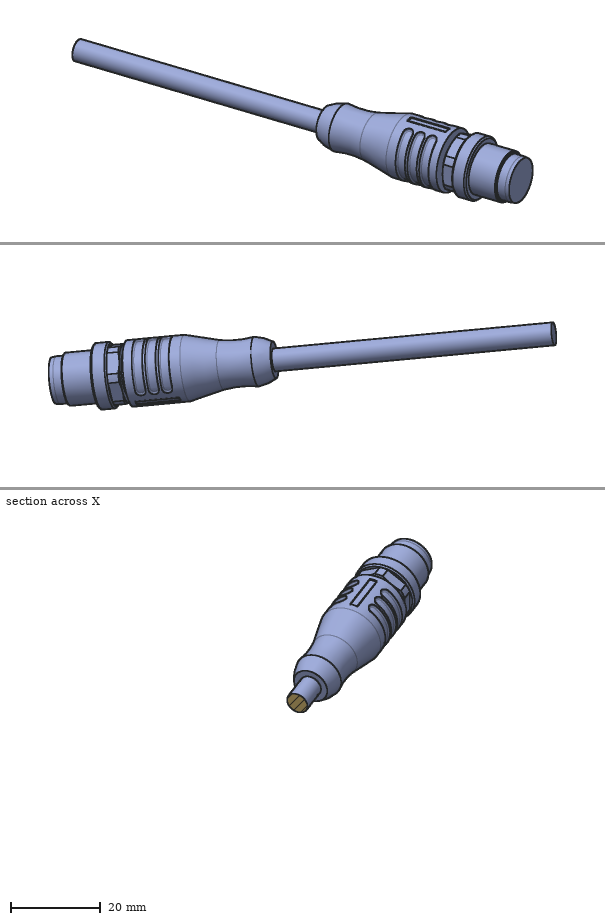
import cadquery as cq
import math

OVERALL_LENGTH = 114.7

CABLE_DIAMETER = 5.2

COLLAR_START_X = 64.1
COLLAR_END_X = 68.2
TAPER_START_X = 76.2
BARREL_START_X = 84.1
BARREL_END_X = 97.2
COLLAR_START_DIAMETER = 8.3
COLLAR_END_DIAMETER = 11.2
COLLAR_BULGE = 0.25
WAIST_DIAMETER = 10.5
TAPER_START_DIAMETER = 11.2
BARREL_DIAMETER = 15.0

GROOVE_COUNT = 3
GROOVE_PITCH = 3.05
GROOVE_MIDDLE_X = 90.85
GROOVE_WIDTH = 2.4
GROOVE_DEPTH = 0.5
GROOVE_END_Y = 2.9
GROOVE_FLOOR_FILLET = 0.3

MARK_START_X = 85.8
MARK_LENGTH = 10.0
MARK_WIDTH = 1.75
MARK_DEPTH = 0.3

NECK_DIAMETER = 9.3
HEX_START_X = 98.2
HEX_ACROSS_FLATS = 13.0
HEX_CORNER_DIAMETER = 14.0
HEX_CHAMFER_LENGTH = 0.25
FLANGE_START_X = 101.0
FLANGE_END_X = 104.7
FLANGE_DIAMETER = 15.0
FLANGE_CHAMFER = 0.4

THREAD_END_X = 111.7
THREAD_DIAMETER = 12.0
THREAD_CHAMFER = 0.25
TIP_DIAMETER = 10.8
TIP_LEAD_IN_LENGTH = 1.0
TIP_END_DIAMETER = 10.5


def cylinder(start_x, end_x, diameter):
    """Round bar on the X axis between two stations."""
    return cq.Workplane("YZ", origin=(start_x, 0, 0)).circle(diameter / 2).extrude(end_x - start_x)


def make_grip():
    """Revolved grip: collar, waisted shank, taper and plain barrel."""
    collar_middle_x = (COLLAR_START_X + COLLAR_END_X) / 2
    collar_middle_radius = (COLLAR_START_DIAMETER + COLLAR_END_DIAMETER) / 4 + COLLAR_BULGE
    shank_middle_x = (COLLAR_END_X + TAPER_START_X) / 2
    profile = (
        cq.Workplane("XY")
        .moveTo(COLLAR_START_X, 0)
        .lineTo(COLLAR_START_X, COLLAR_START_DIAMETER / 2)
        .threePointArc(
            (collar_middle_x, collar_middle_radius),
            (COLLAR_END_X, COLLAR_END_DIAMETER / 2),
        )
        .threePointArc(
            (shank_middle_x, WAIST_DIAMETER / 2),
            (TAPER_START_X, TAPER_START_DIAMETER / 2),
        )
        .lineTo(BARREL_START_X, BARREL_DIAMETER / 2)
        .lineTo(BARREL_END_X, BARREL_DIAMETER / 2)
        .lineTo(BARREL_END_X, 0)
        .close()
    )
    return profile.revolve(360, (0, 0, 0), (1, 0, 0))


def make_groove(center_x, side):
    """Shallow groove round one Y side of the barrel, with round ends near the top and bottom."""
    end_radius = GROOVE_WIDTH / 2
    arc_center_y = GROOVE_END_Y + end_radius
    outline = (
        cq.Workplane("XY")
        .moveTo(center_x - end_radius, side * BARREL_DIAMETER)
        .lineTo(center_x - end_radius, side * arc_center_y)
        .threePointArc((center_x, side * GROOVE_END_Y), (center_x + end_radius, side * arc_center_y))
        .lineTo(center_x + end_radius, side * BARREL_DIAMETER)
        .close()
        .extrude(BARREL_DIAMETER / 2, both=True)
    )
    core = cylinder(BARREL_START_X, BARREL_END_X, BARREL_DIAMETER - 2 * GROOVE_DEPTH)
    floor_point = (center_x, side * (BARREL_DIAMETER / 2 - GROOVE_DEPTH), 0)
    groove = outline.cut(core)
    floor_edges = groove.faces(cq.selectors.NearestToPointSelector(floor_point)).edges()
    return groove.newObject(floor_edges.vals()).fillet(GROOVE_FLOOR_FILLET)


def cut_grooves(grip):
    """Cut the row of finger grooves into both Y sides."""
    for index in range(GROOVE_COUNT):
        center_x = GROOVE_MIDDLE_X + (index - (GROOVE_COUNT - 1) / 2) * GROOVE_PITCH
        for side in (-1, 1):
            grip = grip.cut(make_groove(center_x, side))
    return grip


def cut_marks(grip):
    """Cut a flat-bottomed rectangular mark into the top and bottom."""
    for side in (-1, 1):
        mark = cq.Workplane("XY").box(MARK_LENGTH, MARK_WIDTH, 2 * MARK_DEPTH).translate(
            (MARK_START_X + MARK_LENGTH / 2, 0, side * BARREL_DIAMETER / 2)
        )
        grip = grip.cut(mark)
    return grip


def make_nut():
    """Hexagon with turned corners and a chamfered rear face, joined to a round flange."""
    hex_length = FLANGE_START_X - HEX_START_X
    hexagon = (
        cq.Workplane("YZ", origin=(HEX_START_X, 0, 0))
        .polygon(6, HEX_ACROSS_FLATS / math.cos(math.pi / 6))
        .extrude(hex_length)
        .rotate((0, 0, 0), (1, 0, 0), 30)
    )
    turned_blank = (
        cylinder(HEX_START_X, FLANGE_START_X, HEX_CORNER_DIAMETER)
        .faces("<X")
        .chamfer(HEX_CHAMFER_LENGTH, (HEX_CORNER_DIAMETER - HEX_ACROSS_FLATS) / 2)
    )
    flange = (
        cylinder(FLANGE_START_X, FLANGE_END_X, FLANGE_DIAMETER)
        .faces("<X or >X")
        .chamfer(FLANGE_CHAMFER)
    )
    return hexagon.intersect(turned_blank).union(flange)


def make_tip():
    """Plug tip with a slightly tapered lead-in at its free end."""
    lead_in_depth = (TIP_DIAMETER - TIP_END_DIAMETER) / 2
    return (
        cylinder(THREAD_END_X, OVERALL_LENGTH, TIP_DIAMETER)
        .faces(">X")
        .chamfer(TIP_LEAD_IN_LENGTH, lead_in_depth)
    )


grip = cut_marks(cut_grooves(make_grip()))
cable = cylinder(0, COLLAR_START_X, CABLE_DIAMETER)
neck = cylinder(BARREL_END_X, HEX_START_X, NECK_DIAMETER)
thread = cylinder(FLANGE_END_X, THREAD_END_X, THREAD_DIAMETER).faces(">X").chamfer(THREAD_CHAMFER)
tip = make_tip()

result = cable.union(grip).union(neck).union(make_nut()).union(thread).union(tip)